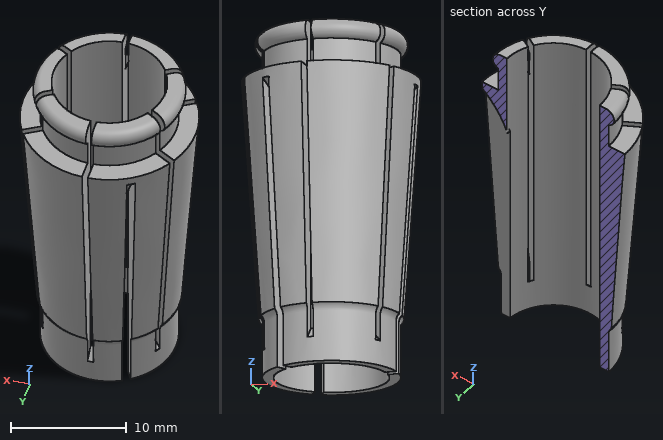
import cadquery as cq
import math

length = 30.5
bore_radius = 5.0
neck_diameter = 12.0
neck_radius = neck_diameter / 2
cone_top_radius = 7.75
cone_top_z = 26.32
cone_base_radius = 6.28
cone_base_z = 5.15
relief_z = 4.5

bead_radius = 0.9
bead_center_radius = 5.67
bead_center_z = length - bead_radius

mouth_slot_count = 6
mouth_slot_width = 0.52
mouth_slot_first_angle = 30.0
mouth_slot_end_z = 2.2
base_slot_count = 3
base_slot_width = 0.75
base_slot_first_angle = 0.0
base_slot_end_z = 25.53
base_saw_radius = 8.55
base_saw_entry_angle = 52.0

overcut = 1.52
slot_inner_radius = bore_radius - overcut
slot_outer_radius = cone_top_radius + overcut


def blend_midpoint():
    """Middle of the hollow arc that starts tangent to the lower cylinder."""
    step = cone_base_radius - neck_radius
    rise = cone_base_z - relief_z
    radius = (step ** 2 + rise ** 2) / (2 * step)
    half_angle = math.asin(rise / radius) / 2
    return (
        neck_radius + radius * (1 - math.cos(half_angle)),
        relief_z + radius * math.sin(half_angle),
    )


def make_body():
    """Revolved collet with its cone, neck, bead and through bore."""
    bead_neck_offset = neck_radius - bead_center_radius
    bead_bottom_z = bead_center_z - math.sqrt(bead_radius ** 2 - bead_neck_offset ** 2)
    profile = (
        cq.Workplane("XZ")
        .moveTo(bore_radius, 0)
        .lineTo(neck_radius, 0)
        .lineTo(neck_radius, relief_z)
        .threePointArc(blend_midpoint(), (cone_base_radius, cone_base_z))
        .lineTo(cone_top_radius, cone_top_z)
        .lineTo(neck_radius, cone_top_z)
        .lineTo(neck_radius, bead_bottom_z)
        .threePointArc(
            (bead_center_radius + bead_radius, bead_center_z),
            (bead_center_radius, length),
        )
        .lineTo(bore_radius, length)
        .close()
    )
    return profile.revolve(360, (0, 0, 0), (0, 1, 0))


def make_mouth_slot():
    """Radial slot open at the top; its floor slopes down outward at 45 degrees."""
    return (
        cq.Workplane("XZ")
        .moveTo(slot_inner_radius, mouth_slot_end_z + neck_radius - slot_inner_radius)
        .lineTo(slot_outer_radius, mouth_slot_end_z + neck_radius - slot_outer_radius)
        .lineTo(slot_outer_radius, length + overcut)
        .lineTo(slot_inner_radius, length + overcut)
        .close()
        .extrude(mouth_slot_width / 2, both=True)
    )


def make_base_slot():
    """Radial slot open at the bottom, ending in the arc left by a round saw."""
    angle = math.radians(base_saw_entry_angle)
    saw_x = cone_top_radius + base_saw_radius * math.cos(angle)
    saw_z = base_slot_end_z - base_saw_radius * math.sin(angle)
    rim_x = saw_x - base_saw_radius
    diagonal = base_saw_radius / math.sqrt(2)
    return (
        cq.Workplane("XZ")
        .moveTo(rim_x, -overcut)
        .lineTo(rim_x, saw_z)
        .threePointArc((saw_x - diagonal, saw_z + diagonal), (saw_x, saw_z + base_saw_radius))
        .lineTo(saw_x, -overcut)
        .close()
        .extrude(base_slot_width / 2, both=True)
    )


def cut_around(body, cutter, count, first_angle):
    """Cut equally spaced copies of a cutter around the Z axis."""
    for index in range(count):
        angle = first_angle + index * 360 / count
        body = body.cut(cutter.rotate((0, 0, 0), (0, 0, 1), angle))
    return body


result = make_body()
result = cut_around(result, make_mouth_slot(), mouth_slot_count, mouth_slot_first_angle)
result = cut_around(result, make_base_slot(), base_slot_count, base_slot_first_angle)